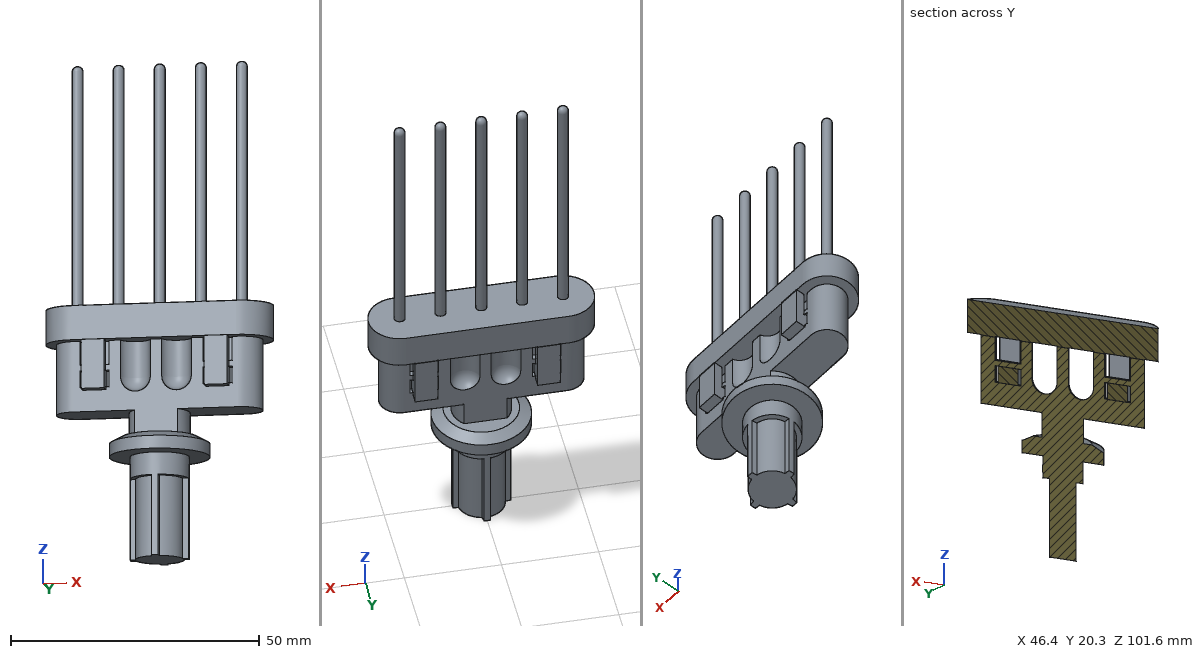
import cadquery as cq
import math

total_height = 101.6

pin_count = 5
pin_row_length = 33.6
pin_pitch = pin_row_length / (pin_count - 1)
pin_diameter = 2.2

shaft_diameter = 12.0
shaft_top = 21.0
ribs_top = 16.5
core_diameter = 9.8
rib_count = 4
rib_root_width = 1.6
rib_side_angle = 7.5

flange_diameter = 20.3
flange_top = 25.0
bevel_height = 1.3
bevel_width = 2.4

neck_diameter = 12.3
plate_bottom = 30.1
plate_thickness = 8.5
plate_face = plate_thickness / 2

groove_radius = 3.2
groove_axis_offset = 0.8
groove_centre_height = 37.0
groove_x = pin_pitch / 2
groove_y = plate_face + groove_axis_offset

cap_bottom = 44.5
cap_top = 51.5
cap_width = 12.8

arm_x = 1.5 * pin_pitch
arm_width = 4.7
arm_outer_face = 6.5
arm_bottom = 34.5
arm_clearance = 0.2

pocket_width = 5.9
pocket_depth = 1.2
bar_top = 39.6
bar_bottom = 38.4
catch_bottom = 35.1


def block(x_centre, width, y_inner, y_outer, z_low, z_high):
    """Box centred on x_centre in X, between the given limits in Y and Z."""
    return (
        cq.Workplane("XY")
        .box(width, y_outer - y_inner, z_high - z_low, centered=(True, False, False))
        .translate((x_centre, y_inner, z_low))
    )


def stadium(width, z_low, z_high):
    """Upright plate with full-round ends centred on the outer pins."""
    return (
        cq.Workplane("XY", origin=(0, 0, z_low))
        .slot2D(pin_row_length + width, width)
        .extrude(z_high - z_low)
    )


def cylinder(diameter, z_low, z_high):
    return cq.Workplane("XY", origin=(0, 0, z_low)).circle(diameter / 2).extrude(z_high - z_low)


def on_all_sides(feature):
    """The feature at +X +Y together with its mirror images in X and Y."""
    pair = feature.union(feature.mirror("YZ"))
    return pair.union(pair.mirror("XZ"))


def make_ribbed_shaft():
    shaft = cylinder(shaft_diameter, ribs_top, shaft_top)
    shaft = shaft.union(cylinder(core_diameter, 0, ribs_top))

    root_x = core_diameter / 2
    tip_x = shaft_diameter / 2
    taper = math.tan(math.radians(rib_side_angle))
    root_half = rib_root_width / 2
    tip_half = root_half - (tip_x - root_x) * taper
    rib = (
        cq.Workplane("XY")
        .polyline([(0, -root_half), (root_x, -root_half), (tip_x, -tip_half),
                   (tip_x, tip_half), (root_x, root_half), (0, root_half)])
        .close()
        .extrude(ribs_top)
        .intersect(cylinder(shaft_diameter, 0, ribs_top))
    )
    for i in range(rib_count):
        shaft = shaft.union(rib.rotate((0, 0, 0), (0, 0, 1), i * 360 / rib_count))
    return shaft


def make_flange():
    radius = flange_diameter / 2
    return (
        cq.Workplane("XZ")
        .polyline([(0, shaft_top), (radius, shaft_top), (radius, flange_top - bevel_height),
                   (radius - bevel_width, flange_top), (0, flange_top)])
        .close()
        .revolve(360, (0, 0, 0), (0, 1, 0))
    )


def make_neck():
    """Round neck with two flats, flush with the faces of the plate."""
    flats = block(0, neck_diameter, -plate_face, plate_face, flange_top, plate_bottom)
    return cylinder(neck_diameter, flange_top, plate_bottom).intersect(flats)


def make_grooves():
    groove = (
        cq.Workplane("XY", origin=(groove_x, groove_y, groove_centre_height))
        .circle(groove_radius)
        .extrude(cap_bottom - groove_centre_height)
    )
    round_bottom = cq.Workplane("XY").sphere(groove_radius)
    round_bottom = round_bottom.translate((groove_x, groove_y, groove_centre_height))
    return on_all_sides(groove.union(round_bottom))


def make_pockets():
    floor = plate_face - pocket_depth
    upper = block(arm_x, pocket_width, floor, plate_face, bar_top, cap_bottom)
    catch = block(arm_x, pocket_width, floor, plate_face, catch_bottom, bar_bottom)
    return on_all_sides(upper.union(catch))


def make_carrier():
    carrier = stadium(plate_thickness, plate_bottom, cap_bottom)
    for section in (make_neck(), make_flange(), make_ribbed_shaft()):
        carrier = carrier.union(section)
    return carrier.cut(make_grooves()).cut(make_pockets())


def make_latch_arms():
    """Arms clear of the plate down to the bar, with a hook below that fills the catch depth."""
    stem = block(arm_x, arm_width, plate_face + arm_clearance, arm_outer_face, bar_bottom, cap_bottom)
    foot = block(arm_x, arm_width, plate_face, arm_outer_face, arm_bottom, bar_bottom)
    hook = block(arm_x, arm_width, plate_face - pocket_depth, plate_face, catch_bottom, bar_bottom)
    return on_all_sides(stem.union(foot).union(hook))


def make_cap():
    cap = stadium(cap_width, cap_bottom, cap_top).union(make_latch_arms())
    holes = (
        cq.Workplane("XY", origin=(0, 0, cap_bottom))
        .rarray(pin_pitch, 1, pin_count, 1)
        .circle(pin_diameter / 2)
        .extrude(cap_top - cap_bottom)
    )
    return cap.cut(holes)


def make_pin(x):
    """Round pin with a hemispherical tip, standing on the plate and passing through the cap."""
    radius = pin_diameter / 2
    tip_centre = total_height - radius
    stem = cylinder(pin_diameter, cap_bottom, tip_centre)
    tip = cq.Workplane("XY").sphere(radius).translate((0, 0, tip_centre))
    return stem.union(tip).translate((x, 0, 0))


carrier = make_carrier()
cap = make_cap()
pins = []
for i in range(pin_count):
    pins.append(make_pin(i * pin_pitch - pin_row_length / 2))

result = cq.Compound.makeCompound([carrier.val(), cap.val(), *[pin.val() for pin in pins]])